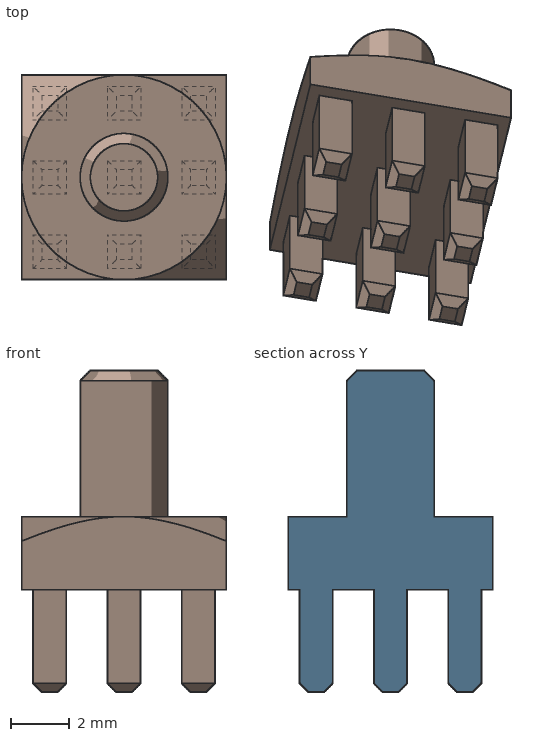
import cadquery as cq
import math

base_side = 7.0
base_height = 2.5
crown_radius = base_side / 2
crown_angle = 30.0
cone_overrun = 1.0

stud_diameter = 3.0
stud_length = 5.0
stud_chamfer = 0.35

pins_per_side = 3
pin_pitch = 2.54
pin_width = 1.14
pin_length = 3.5
pin_chamfer = 0.3


def make_base():
    """Square block with its top corners turned down to a cone."""
    block = cq.Workplane("XY").box(base_side, base_side, base_height, centered=(True, True, False))
    corner_radius = base_side / math.sqrt(2)
    cone_radius = corner_radius + cone_overrun
    cone_drop = (cone_radius - crown_radius) * math.tan(math.radians(crown_angle))
    envelope = (
        cq.Workplane("XZ")
        .lineTo(cone_radius, 0)
        .lineTo(cone_radius, base_height - cone_drop)
        .lineTo(crown_radius, base_height)
        .lineTo(0, base_height)
        .close()
        .revolve(360, (0, 0, 0), (0, 1, 0))
    )
    return block.intersect(envelope)


def make_stud():
    """Plain round stud with a chamfered tip."""
    return (
        cq.Workplane("XY", origin=(0, 0, base_height))
        .circle(stud_diameter / 2)
        .extrude(stud_length)
        .faces(">Z")
        .chamfer(stud_chamfer)
    )


def make_pins():
    """Grid of square pins with chamfered lower ends."""
    return (
        cq.Workplane("XY")
        .rarray(pin_pitch, pin_pitch, pins_per_side, pins_per_side)
        .rect(pin_width, pin_width)
        .extrude(-pin_length)
        .faces("<Z")
        .chamfer(pin_chamfer)
    )


result = make_base().union(make_stud()).union(make_pins())